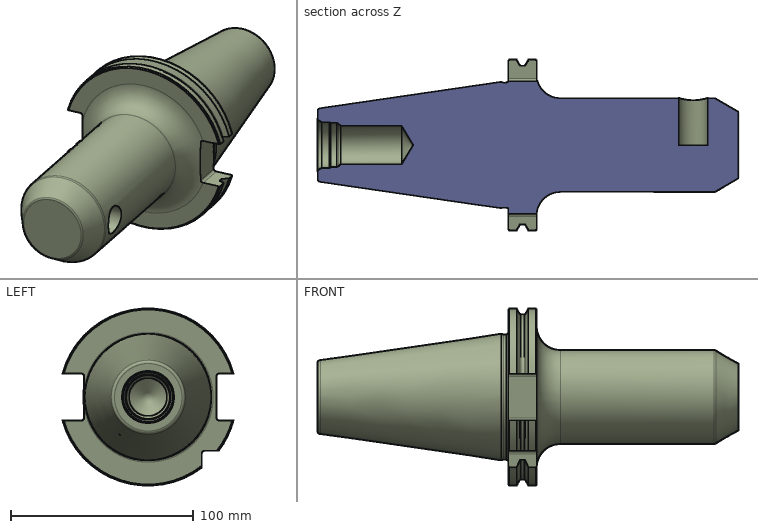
import cadquery as cq
import math

TOTAL_LENGTH = 231.5

TAPER_RATIO = 7 / 24
GAUGE_X = 101.7
GAUGE_RADIUS = 35.0
TAPER_END = 101.0
SHANK_END_ROUND = 1.9

NECK_RADIUS = 34.5
NECK_START = 102.1
NECK_FILLET = 1.2

FLANGE_START = 105.0
FLANGE_END = 120.7
FLANGE_DIAMETER = 97.5
FLANGE_RADIUS = FLANGE_DIAMETER / 2
FLANGE_CHAMFER = 0.7
GROOVE_CENTRE = 112.8
GROOVE_FLOOR_WIDTH = 2.8
GROOVE_DEPTH = 3.2
GROOVE_HALF_ANGLE = 30.0
GROOVE_FILLET = 0.7

BODY_RADIUS = 26.0
BLEND_RADIUS = 12.7

NOSE_START = 218.5
NOSE_HALF_ANGLE = 30.0
NOSE_START_ROUND = 2.3
NOSE_END_ROUND = 1.2

SLOT_WIDTH = 25.7
SLOT_FLOOR_PLUS_Y = 35.2
SLOT_FLOOR_MINUS_Y = 37.8
SLOT_CORNER_RADIUS = 1.5
NOTCH_OFFSET = 29.6

MOUTH_RADIUS = 14.4
MOUTH_HALF_ANGLE = 60.0
CENTRE_RADIUS = 13.7
CENTRE_HALF_ANGLE = 30.0
PILOT_RADIUS = 12.5
PILOT_DEPTH = 6.7
RELIEF_RADIUS = 12.0
RELIEF_START = 7.5
RELIEF_DEPTH = 10.7
LEAD_RADIUS = 11.5
LEAD_DEPTH = 11.5
THREAD_RADIUS = 10.5
THREAD_START = 13.0
DRILL_DEPTH = 46.3
DRILL_POINT_HALF_ANGLE = 59.0

SCREW_X = 206.5
SCREW_RADIUS = 7.9


def revolve_about_x(profile):
    return profile.close().revolve(360, (0, 0, 0), (1, 0, 0))


def taper_radius(x):
    return GAUGE_RADIUS - (GAUGE_X - x) * TAPER_RATIO / 2


def make_body():
    nose_end_radius = BODY_RADIUS - (TOTAL_LENGTH - NOSE_START) * math.tan(math.radians(NOSE_HALF_ANGLE))
    outline = (
        cq.Workplane("XY")
        .lineTo(0, taper_radius(0))
        .lineTo(TAPER_END, taper_radius(TAPER_END))
        .lineTo(NECK_START, NECK_RADIUS)
        .lineTo(FLANGE_START - NECK_FILLET, NECK_RADIUS)
        .radiusArc((FLANGE_START, NECK_RADIUS + NECK_FILLET), -NECK_FILLET)
        .lineTo(FLANGE_START, FLANGE_RADIUS - FLANGE_CHAMFER)
        .lineTo(FLANGE_START + FLANGE_CHAMFER, FLANGE_RADIUS)
        .lineTo(FLANGE_END - FLANGE_CHAMFER, FLANGE_RADIUS)
        .lineTo(FLANGE_END, FLANGE_RADIUS - FLANGE_CHAMFER)
        .lineTo(FLANGE_END, BODY_RADIUS + BLEND_RADIUS)
        .radiusArc((FLANGE_END + BLEND_RADIUS, BODY_RADIUS), -BLEND_RADIUS)
        .lineTo(NOSE_START, BODY_RADIUS)
        .lineTo(TOTAL_LENGTH, nose_end_radius)
        .lineTo(TOTAL_LENGTH, 0)
    )
    body = revolve_about_x(outline)
    body = body.faces("<X").edges().fillet(SHANK_END_ROUND)
    body = body.faces(">X").edges().fillet(NOSE_END_ROUND)
    nose_face = body.faces("%CONE").faces(">X")
    return body.newObject([nose_face.edges("%CIRCLE").edges("<X").val()]).fillet(NOSE_START_ROUND)


def make_groove():
    floor_radius = FLANGE_RADIUS - GROOVE_DEPTH
    floor_half = GROOVE_FLOOR_WIDTH / 2
    mouth_half = floor_half + GROOVE_DEPTH * math.tan(math.radians(GROOVE_HALF_ANGLE))
    groove = revolve_about_x(
        cq.Workplane("XY")
        .moveTo(GROOVE_CENTRE - floor_half, floor_radius)
        .lineTo(GROOVE_CENTRE + floor_half, floor_radius)
        .lineTo(GROOVE_CENTRE + mouth_half, FLANGE_RADIUS)
        .lineTo(GROOVE_CENTRE - mouth_half, FLANGE_RADIUS)
    )
    floor_edges = cq.selectors.RadiusNthSelector(0)
    return groove.edges("%CIRCLE").edges(floor_edges).fillet(GROOVE_FILLET)


def make_flange_cutter(y_floor, y_side, z_low, z_high, rounded_edges):
    """Box through the flange from y_floor outwards, with its inner corners rounded."""
    length = FLANGE_END - FLANGE_START + BLEND_RADIUS
    box = cq.Workplane("XY").box(length, FLANGE_RADIUS, z_high - z_low, centered=False)
    y_start = y_floor if y_side > 0 else -y_floor - FLANGE_RADIUS
    box = box.translate((FLANGE_START, y_start, z_low))
    return box.edges(rounded_edges).fillet(SLOT_CORNER_RADIUS)


def cone_length(large_radius, small_radius, half_angle):
    return (large_radius - small_radius) / math.tan(math.radians(half_angle))


def make_shank_bore():
    centre_x = cone_length(MOUTH_RADIUS, CENTRE_RADIUS, MOUTH_HALF_ANGLE)
    pilot_x = centre_x + cone_length(CENTRE_RADIUS, PILOT_RADIUS, CENTRE_HALF_ANGLE)
    tip_x = DRILL_DEPTH + cone_length(THREAD_RADIUS, 0, DRILL_POINT_HALF_ANGLE)
    return revolve_about_x(
        cq.Workplane("XY")
        .lineTo(0, MOUTH_RADIUS)
        .lineTo(centre_x, CENTRE_RADIUS)
        .lineTo(pilot_x, PILOT_RADIUS)
        .lineTo(PILOT_DEPTH, PILOT_RADIUS)
        .lineTo(RELIEF_START, RELIEF_RADIUS)
        .lineTo(RELIEF_DEPTH, RELIEF_RADIUS)
        .lineTo(LEAD_DEPTH, LEAD_RADIUS)
        .lineTo(THREAD_START, THREAD_RADIUS)
        .lineTo(DRILL_DEPTH, THREAD_RADIUS)
        .lineTo(tip_x, 0)
    )


def make_screw_hole():
    hole = cq.Workplane("XZ").center(SCREW_X, 0).circle(SCREW_RADIUS)
    return hole.extrude(-2 * BODY_RADIUS)


half_slot = SLOT_WIDTH / 2
slot_plus_y = make_flange_cutter(SLOT_FLOOR_PLUS_Y, 1, -half_slot, half_slot, "|X and <Y")
slot_minus_y = make_flange_cutter(SLOT_FLOOR_MINUS_Y, -1, -half_slot, half_slot, "|X and >Y")
notch = make_flange_cutter(NOTCH_OFFSET, -1, -FLANGE_RADIUS, -NOTCH_OFFSET, "|X and >Y and >Z")

result = make_body()
for cutter in (make_groove(), slot_plus_y, slot_minus_y, notch, make_shank_bore(), make_screw_hole()):
    result = result.cut(cutter)